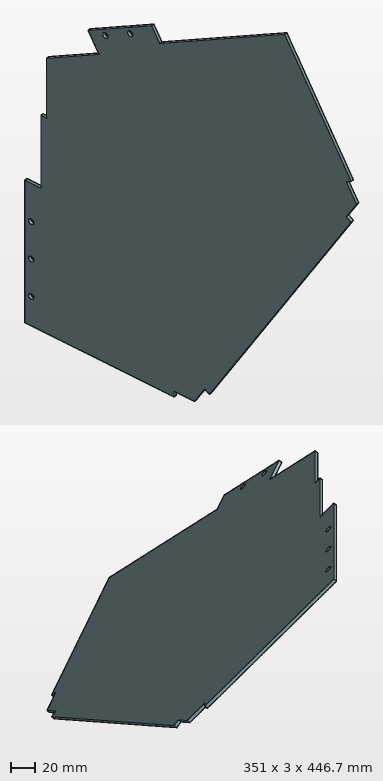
import cadquery as cq
import math

width = 350.95
height = 446.71
thickness = 3.0

cos30 = math.cos(math.radians(30))
sin30 = math.sin(math.radians(30))

flange = 6.0
tab_flange = 23.0

plain_run = 64.0
middle_run = 77.8
middle_end = plain_run + middle_run

corner_gap = 21.5

hole_diameter = 5.5
left_hole_inset = 6.9
left_hole_count = 3
left_hole_pitch = 40.0
lowest_hole_z = 31.5
upper_hole_inset = 6.0
upper_hole_count = 2
upper_hole_pitch = 30.2
upper_hole_start = 17.8

side_length = (height - flange * cos30) / (1 + sin30) - flange
end_length = (width - tab_flange - side_length * cos30) / sin30
left_corner = (tab_flange, flange + side_length)
bottom_corner = (tab_flange + end_length, flange)


def on_left(distance, outward):
    """Point by distance down from the left corner and offset outward from the left edge."""
    return (left_corner[0] - outward, left_corner[1] - distance)


def on_upper(distance, outward):
    """Point by distance up from the left corner and offset outward from the upper edge."""
    x = left_corner[0] + distance * cos30 - outward * sin30
    z = left_corner[1] + distance * sin30 + outward * cos30
    return (x, z)


def on_long(distance, outward):
    """Point by distance up from the bottom corner and offset outward from the long edge."""
    x = bottom_corner[0] + distance * sin30 + outward * cos30
    z = bottom_corner[1] + distance * cos30 - outward * sin30
    return (x, z)


def plate_outline():
    """Pentagon with its flanges, counterclockwise from the end of the plain left edge."""
    tip = on_upper(side_length, -end_length)
    long_length = math.dist(bottom_corner, tip)
    flanged_length = side_length + flange
    end_stop = corner_gap - end_length
    return [
        on_left(plain_run, 0),
        on_left(plain_run, flange),
        on_left(middle_end, flange),
        on_left(middle_end, tab_flange),
        on_left(flanged_length, tab_flange),
        on_left(flanged_length, end_stop),
        on_left(side_length, end_stop),
        bottom_corner,
        on_long(corner_gap, 0),
        on_long(corner_gap, flange),
        on_long(long_length - corner_gap, flange),
        on_long(long_length - corner_gap, 0),
        tip,
        on_upper(side_length, end_stop),
        on_upper(flanged_length, end_stop),
        on_upper(flanged_length, flange),
        on_upper(middle_end, flange),
        on_upper(middle_end, tab_flange),
        on_upper(plain_run, tab_flange),
        on_upper(plain_run, 0),
        left_corner,
    ]


def hole_centres():
    """Centres of the holes in the left tab and in the upper tab."""
    left = [(left_hole_inset, lowest_hole_z + i * left_hole_pitch) for i in range(left_hole_count)]
    first = plain_run + upper_hole_start
    offset = tab_flange - upper_hole_inset
    upper = [on_upper(first + i * upper_hole_pitch, offset) for i in range(upper_hole_count)]
    return left + upper


plate = cq.Workplane("XZ").polyline(plate_outline()).close().extrude(thickness)
holes = cq.Workplane("XZ").pushPoints(hole_centres()).circle(hole_diameter / 2).extrude(thickness)
result = plate.cut(holes)